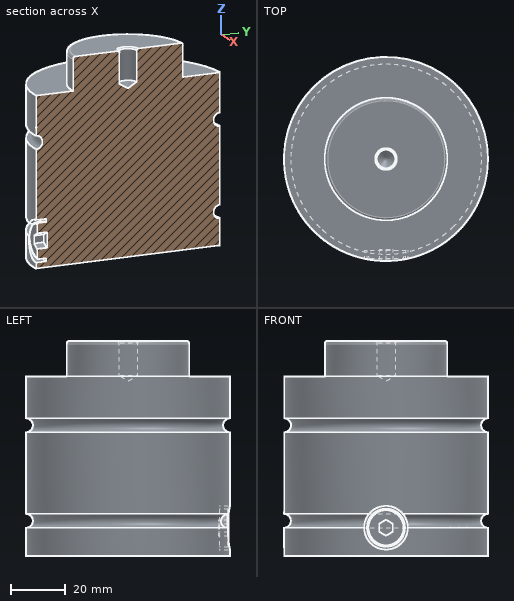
import cadquery as cq
import math

BODY_DIAMETER = 75.0
BODY_HEIGHT = 66.0
BODY_RADIUS = BODY_DIAMETER / 2

TOTAL_HEIGHT = 79.0
ROD_DIAMETER = 45.0
ROD_EDGE_RADIUS = 1.0

TAP_DIAMETER = 6.8
TAP_MOUTH_DIAMETER = 8.0
TAP_DEPTH = 12.65
DRILL_POINT_ANGLE = 118.0

GROOVE_RADIUS = 2.5
GROOVE_HEIGHTS = (12.95, 48.0)

PLUG_HEIGHT = 10.4
RECESS_DIAMETER = 16.0
RECESS_DEPTH = 4.0
PLUG_DIAMETER = 14.0
PLUG_INSET = 0.5
PLUG_CHAMFER = 0.55
HEX_ACROSS_FLATS = 5.05
HEX_DEPTH = 3.95


def make_body():
    """Body with the rounded rod end on top."""
    body = cq.Workplane("XY").circle(BODY_RADIUS).extrude(BODY_HEIGHT)
    rod = cq.Workplane("XY").circle(ROD_DIAMETER / 2).extrude(TOTAL_HEIGHT)
    return body.union(rod.faces(">Z").edges().fillet(ROD_EDGE_RADIUS))


def make_groove(height):
    """Torus centred on the body surface, which leaves a half-round groove."""
    return (
        cq.Workplane("XZ")
        .center(BODY_RADIUS, height)
        .circle(GROOVE_RADIUS)
        .revolve(360, (-BODY_RADIUS, 0, 0), (-BODY_RADIUS, 1, 0))
    )


def make_tapped_hole():
    """Blind hole from the top, with a 45 degree countersink and a drill point."""
    radius = TAP_DIAMETER / 2
    mouth_radius = TAP_MOUTH_DIAMETER / 2
    floor = TOTAL_HEIGHT - TAP_DEPTH
    point_length = radius / math.tan(math.radians(DRILL_POINT_ANGLE / 2))
    return (
        cq.Workplane("XZ")
        .moveTo(0, TOTAL_HEIGHT)
        .lineTo(mouth_radius, TOTAL_HEIGHT)
        .lineTo(radius, TOTAL_HEIGHT - (mouth_radius - radius))
        .lineTo(radius, floor)
        .lineTo(0, floor - point_length)
        .close()
        .revolve(360, (0, 0, 0), (0, 1, 0))
    )


def plug_plane(inset):
    """Plane facing -Y at the plug axis, the given distance inside the body surface."""
    return cq.Workplane("XZ", origin=(0, inset - BODY_RADIUS, PLUG_HEIGHT))


def make_recess():
    """Round pocket that receives the plug."""
    return plug_plane(0).circle(RECESS_DIAMETER / 2).extrude(-RECESS_DEPTH)


def make_plug():
    """Plug head with a chamfered rim, resting on the recess floor."""
    head_length = RECESS_DEPTH - PLUG_INSET
    return (
        plug_plane(PLUG_INSET)
        .circle(PLUG_DIAMETER / 2)
        .extrude(-head_length)
        .faces("<Y")
        .edges()
        .chamfer(PLUG_CHAMFER)
    )


def make_hex_socket():
    """Hexagon socket in the plug, with corners at the top and bottom."""
    hex_diameter = HEX_ACROSS_FLATS / math.cos(math.pi / 6)
    return (
        plug_plane(PLUG_INSET)
        .transformed(rotate=(0, 0, 90))
        .polygon(6, hex_diameter)
        .extrude(-HEX_DEPTH)
    )


result = make_body().cut(make_tapped_hole())
for groove_height in GROOVE_HEIGHTS:
    result = result.cut(make_groove(groove_height))
result = result.cut(make_recess()).union(make_plug()).cut(make_hex_socket())